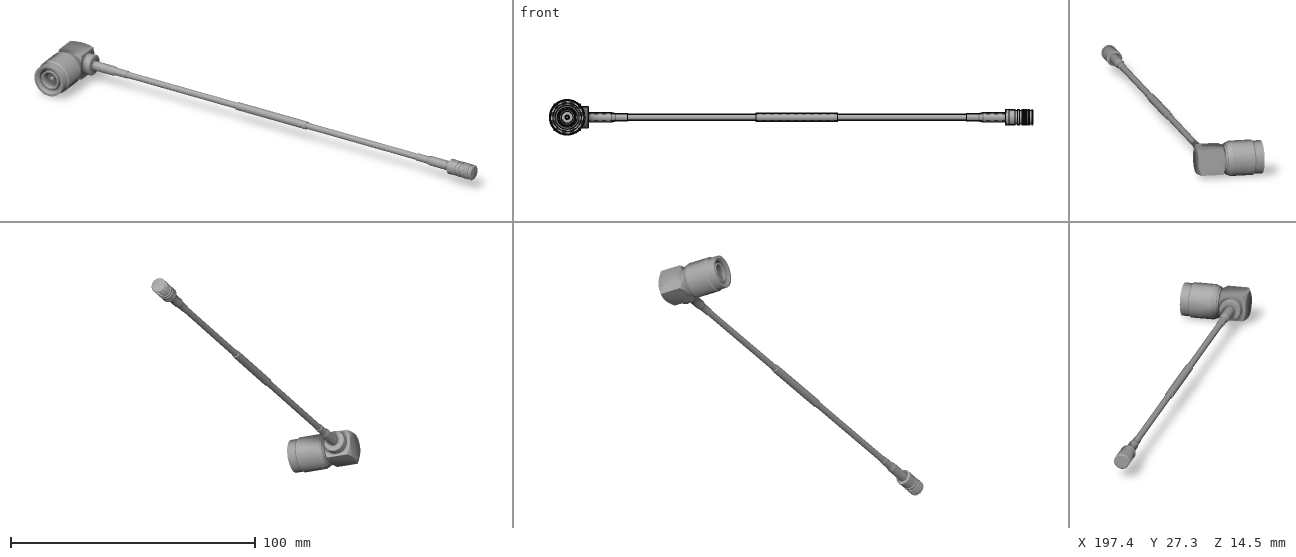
import cadquery as cq
import math


overall_length = 197.42
overall_depth = 27.3
plug_radius = 7.25
right_end_x = overall_length - plug_radius
back_y = 5.75
plug_front_y = back_y - overall_depth

elbow_width = 10.9
elbow_front_y = -5.65
elbow_cone_length = 1.2
elbow_end_radius = elbow_width / 2
elbow_corner_radius = elbow_width / math.sqrt(2)
collar_end_x = 8.75
collar_radius = 4.4
collar_chamfer = 0.3

shell_radius = 4.0
shell_bore_radius = 3.1
shell_lead_in = 0.4
shell_front_y = plug_front_y + 0.8
insulator_radius = 2.4
insulator_front_y = plug_front_y + 3.5
shell_floor_y = plug_front_y + 7.0
pin_radius = 0.9
pin_front_y = plug_front_y + 2.0
pin_tip_chamfer = 0.4

nut_rim_radius = 6.1
nut_rim_length = 0.8
nut_shoulder_start_radius = 6.5
nut_shoulder_end_y = -8.3
nut_nose_radius = 6.8
nut_nose_length = 3.5
nut_nose_taper_length = 0.5
nut_bore_radius = 4.9
nut_bore_depth = 12.5
nut_bore_chamfer = 0.9

cable_radius = 1.3
label_radius = 1.65
label_start_x = 77.1
label_end_x = 110.4
sleeve_root_radius = 1.95
sleeve_shoulder_radius = 1.8
sleeve_tip_radius = 1.55
sleeve_root_length = 9.3
sleeve_shoulder_length = 0.6
sleeve_taper_length = 1.0
sleeve_length = 15.9

connector_start_x = 179.0
connector_radius = 3.2
connector_end_chamfer = 0.4
band_start_x = 180.4
band_depth = 0.1
groove_depth = 0.4
groove_width = 1.1
groove_starts_x = [182.75, 184.55, 188.65]
ribbed_start_x = groove_starts_x[1] + groove_width
ribbed_end_x = groove_starts_x[2]
rib_groove_count = 3
rib_groove_depth = 0.2


def rod_along_x(start_x, end_x, radius):
    """Cylinder on the X axis."""
    return cq.Workplane("YZ", origin=(start_x, 0, 0)).circle(radius).extrude(end_x - start_x)


def rod_along_y(front_y, rear_y, radius):
    """Cylinder on the Y axis."""
    return cq.Workplane("XZ", origin=(0, rear_y, 0)).circle(radius).extrude(rear_y - front_y)


def turned_along_x(points):
    """Solid of revolution about the X axis from (x, radius) points."""
    return cq.Workplane("XY").polyline(points).close().revolve(360, (0, 0, 0), (1, 0, 0))


def turned_along_y(points):
    """Solid of revolution about the Y axis from (radius, y) points."""
    return cq.Workplane("XY").polyline(points).close().revolve(360, (0, 0, 0), (0, 1, 0))


def make_pin():
    pin = rod_along_y(pin_front_y, elbow_front_y, pin_radius)
    return pin.faces("<Y").chamfer(pin_tip_chamfer)


def make_contact_shell():
    """Open tube with a lead-in at its mouth and the insulator standing on its floor."""
    shell = rod_along_y(shell_front_y, elbow_front_y, shell_radius)
    cavity = turned_along_y([
        (0, shell_front_y),
        (shell_bore_radius + shell_lead_in, shell_front_y),
        (shell_bore_radius, shell_front_y + shell_lead_in),
        (shell_bore_radius, shell_floor_y),
        (0, shell_floor_y),
    ])
    insulator = rod_along_y(insulator_front_y, shell_floor_y, insulator_radius)
    return shell.cut(cavity).union(insulator)


def make_elbow(pin):
    bar_length = back_y - elbow_front_y
    bar_centre = (0, (back_y + elbow_front_y) / 2, 0)
    bar = cq.Workplane("XY").box(elbow_width, bar_length, elbow_width).translate(bar_centre)
    coned_envelope = turned_along_y([
        (0, back_y),
        (elbow_end_radius, back_y),
        (elbow_corner_radius, back_y - elbow_cone_length),
        (elbow_corner_radius, elbow_front_y + elbow_cone_length),
        (elbow_end_radius, elbow_front_y),
        (0, elbow_front_y),
    ])
    collar = rod_along_x(0, collar_end_x, collar_radius).faces(">X").chamfer(collar_chamfer)
    elbow = bar.intersect(coned_envelope).union(collar).union(make_contact_shell())
    return elbow.cut(pin)


def make_nut():
    rim_front_y = elbow_front_y - nut_rim_length
    nose_start_y = plug_front_y + nut_nose_length
    blank = turned_along_y([
        (0, elbow_front_y),
        (nut_rim_radius, elbow_front_y),
        (nut_rim_radius, rim_front_y),
        (nut_shoulder_start_radius, rim_front_y),
        (plug_radius, nut_shoulder_end_y),
        (plug_radius, nose_start_y + nut_nose_taper_length),
        (nut_nose_radius, nose_start_y),
        (nut_nose_radius, plug_front_y),
        (0, plug_front_y),
    ])
    bore_floor_y = plug_front_y + nut_bore_depth
    bore = turned_along_y([
        (0, plug_front_y),
        (nut_bore_radius + nut_bore_chamfer, plug_front_y),
        (nut_bore_radius, plug_front_y + nut_bore_chamfer),
        (nut_bore_radius, bore_floor_y),
        (0, bore_floor_y),
    ])
    shell_hole = rod_along_y(bore_floor_y, elbow_front_y, shell_radius)
    return blank.cut(bore).cut(shell_hole)


def make_cable():
    return rod_along_x(collar_end_x, connector_start_x, cable_radius)


def make_label():
    label = rod_along_x(label_start_x, label_end_x, label_radius)
    return label.cut(rod_along_x(label_start_x, label_end_x, cable_radius))


def make_sleeve(root_x, direction):
    """Heat-shrink sleeve that starts at root_x and runs along X with the sign of direction."""
    shoulder_x = root_x + direction * sleeve_root_length
    taper_x = shoulder_x + direction * sleeve_shoulder_length
    neck_x = taper_x + direction * sleeve_taper_length
    tip_x = root_x + direction * sleeve_length
    return turned_along_x([
        (root_x, cable_radius),
        (root_x, sleeve_root_radius),
        (shoulder_x, sleeve_root_radius),
        (taper_x, sleeve_shoulder_radius),
        (neck_x, sleeve_tip_radius),
        (tip_x, sleeve_tip_radius),
        (tip_x, cable_radius),
    ])


def connector_groove(start_x, width, depth):
    """Ring of material to remove from the outside of the connector."""
    end_x = start_x + width
    outer = rod_along_x(start_x, end_x, connector_radius + depth)
    return outer.cut(rod_along_x(start_x, end_x, connector_radius - depth))


def make_connector():
    connector = rod_along_x(connector_start_x, right_end_x, connector_radius)
    connector = connector.faces(">X").chamfer(connector_end_chamfer)
    band_width = groove_starts_x[0] - band_start_x
    connector = connector.cut(connector_groove(band_start_x, band_width, band_depth))
    for start_x in groove_starts_x:
        connector = connector.cut(connector_groove(start_x, groove_width, groove_depth))
    rib_width = (ribbed_end_x - ribbed_start_x) / (2 * rib_groove_count + 1)
    for i in range(rib_groove_count):
        start_x = ribbed_start_x + (2 * i + 1) * rib_width
        connector = connector.cut(connector_groove(start_x, rib_width, rib_groove_depth))
    return connector


pin = make_pin()
elbow = make_elbow(pin)
nut = make_nut()
cable = make_cable()
label = make_label()
sleeves = [make_sleeve(collar_end_x, 1), make_sleeve(connector_start_x, -1)]
connector = make_connector()

bodies = [elbow, nut, pin, cable, label, *sleeves, connector]
result = cq.Compound.makeCompound([body.solids().val() for body in bodies])